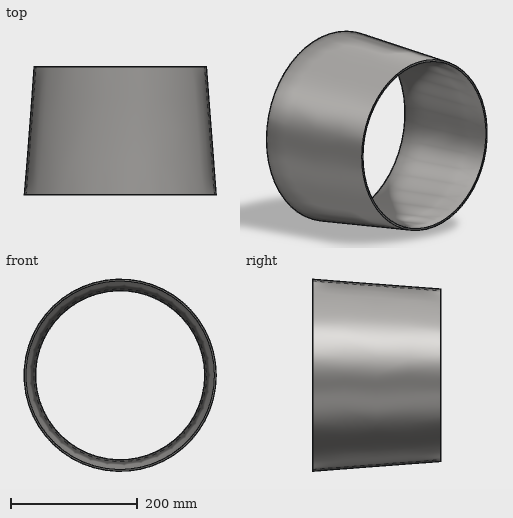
import cadquery as cq

large_diameter = 304.0
small_diameter = 273.0
length = 203.0
wall = 3.0

large_radius = large_diameter / 2
small_radius = small_diameter / 2


def reducer_shell():
    """Revolve the sloping wall section about the Y axis."""
    wall_section = [
        (large_radius - wall, 0),
        (large_radius, 0),
        (small_radius, length),
        (small_radius - wall, length),
    ]
    return (
        cq.Workplane("XY")
        .polyline(wall_section)
        .close()
        .revolve(360, (0, 0, 0), (0, 1, 0))
    )


result = reducer_shell()